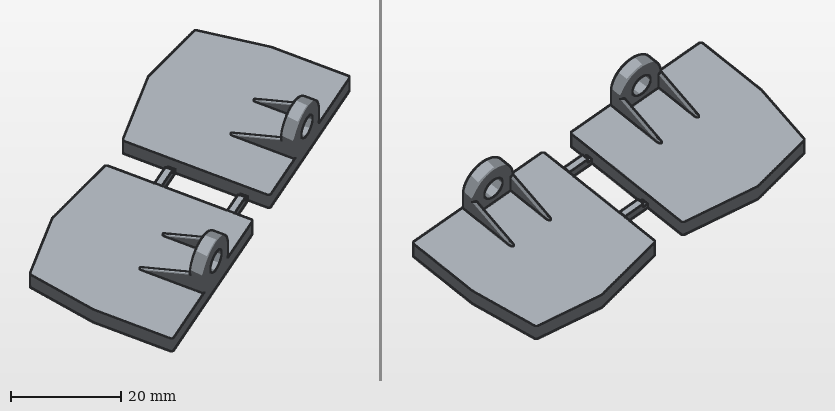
import cadquery as cq
import math

total_length = 71.9
plate_width = 32.85
plate_thickness = 3.5
link_gap = 6.7
back_x = plate_width / 2
tip_x = -plate_width / 2
inner_y = link_gap / 2
outer_y = total_length / 2

edge_angle = 10
edge_slope = math.tan(math.radians(edge_angle))
tip_y = 19.4
corner_y = 33.4
corner_x = tip_x + (corner_y - tip_y) * edge_slope
inner_corner_x = tip_x + (tip_y - inner_y) * edge_slope
outer_bend_x = corner_x + (outer_y - corner_y) / edge_slope
corner_radius = 0.5

lug_y = 18.4
lug_radius = 5.0
lug_thickness = 2.95
lug_height = 12.4
lug_axis_z = lug_height - lug_radius
lug_hole_diameter = 4.5
lug_front_edge_radius = 0.4
lug_rear_edge_radius = 0.3

rib_length = 10.2
rib_thickness = 0.8
rib_edge_radius = 0.3

link_width = 1.5
front_link_setback = 12.9
link_spacing = 14.8
front_link_x = tip_x + front_link_setback
link_centers_x = (front_link_x, front_link_x + link_spacing)
link_low_height = 1.1
link_high_height = 1.95
link_high_length = 4.6


def make_plate():
    outline = [
        (back_x, inner_y),
        (back_x, outer_y),
        (outer_bend_x, outer_y),
        (corner_x, corner_y),
        (tip_x, tip_y),
        (inner_corner_x, inner_y),
    ]
    plate = cq.Workplane("XY").polyline(outline).close().extrude(plate_thickness)
    return plate.edges("|Z").fillet(corner_radius)


def make_lug():
    front_x = back_x - lug_thickness
    lug = (
        cq.Workplane("YZ", origin=(front_x, lug_y, 0))
        .moveTo(-lug_radius, 0)
        .lineTo(-lug_radius, lug_axis_z)
        .threePointArc((0, lug_height), (lug_radius, lug_axis_z))
        .lineTo(lug_radius, 0)
        .close()
        .extrude(lug_thickness)
    )
    lug = lug.faces("<X").edges("%CIRCLE").fillet(lug_front_edge_radius)
    lug = lug.faces(">X").edges("%CIRCLE").fillet(lug_rear_edge_radius)
    hole = (
        cq.Workplane("YZ", origin=(front_x, lug_y, lug_axis_z))
        .circle(lug_hole_diameter / 2)
        .extrude(lug_thickness)
    )
    return lug.cut(hole)


def make_rib(center_y):
    front_x = back_x - lug_thickness
    rib = (
        cq.Workplane("XZ", origin=(0, center_y + rib_thickness / 2, 0))
        .moveTo(front_x - rib_length, plate_thickness)
        .lineTo(front_x, lug_axis_z)
        .lineTo(back_x - lug_rear_edge_radius, lug_axis_z)
        .lineTo(back_x - lug_rear_edge_radius, plate_thickness)
        .close()
        .extrude(rib_thickness)
    )
    rise = lug_axis_z - plate_thickness
    slope_direction = cq.Vector(rib_length, 0, rise)
    slope_edges = cq.selectors.ParallelDirSelector(slope_direction)
    return rib.edges(slope_edges).fillet(rib_edge_radius)


def make_link(center_x):
    low = cq.Workplane("XY").center(center_x, 0).rect(link_width, link_gap).extrude(link_low_height)
    high = cq.Workplane("XY").center(center_x, 0).rect(link_width, link_high_length).extrude(link_high_height)
    return low.union(high)


half = make_plate().union(make_lug())
rib_offset = lug_radius - rib_thickness / 2
for side in (-1, 1):
    half = half.union(make_rib(lug_y + side * rib_offset))

result = half.union(half.mirror("XZ"))
for link_x in link_centers_x:
    result = result.union(make_link(link_x))